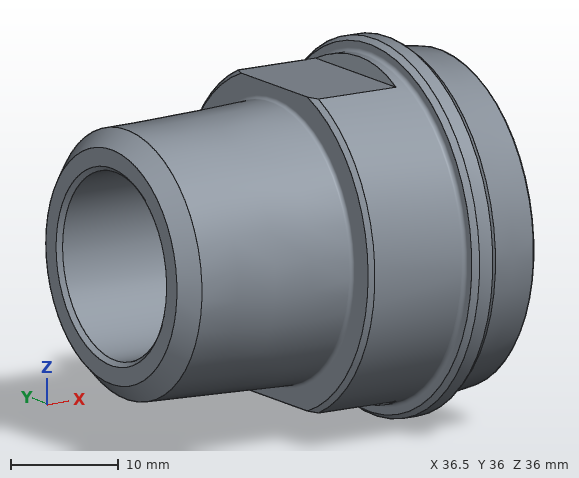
import cadquery as cq
import math

length = 36.5
tip_chamfer_end = 1.68
spigot_end = 17.65
shoulder_x = 18.03
body_chamfer_end = 18.47
body_end = 28.1
collar_start = 28.5
collar_rim_start = 29.1
collar_rim_end = 30.55
collar_end = 31.15
nose_start = 31.4
nose_chamfer = 0.2

tip_radius = 11.2
spigot_radius = 12.9
spigot_root_radius = 13.4
body_radius = 33.0 / 2
shoulder_edge_radius = 16.02
collar_radius = 36.0 / 2
collar_edge_radius = 17.55
nose_radius = 16.83
nose_end_radius = 16.02
root_fillet = shoulder_x - spigot_end
collar_fillet = collar_start - body_end
nose_fillet = nose_start - collar_end

bore_radius = 18.0 / 2
bore_chamfer = 0.45

flat_height = 15.0
flat_end = 27.05
flat_wall_run = 0.35
flat_wall_rise = body_radius - flat_height


def fillet_midpoint(center_x, center_radius, size, direction):
    """Middle of a concave corner arc; direction is +1 for a wall on the right, -1 for the left."""
    offset = size * math.sqrt(0.5)
    return center_x + direction * offset, center_radius - offset


def make_turned_body():
    root_mid = fillet_midpoint(spigot_end, spigot_root_radius + root_fillet, root_fillet, 1)
    collar_mid = fillet_midpoint(body_end, body_radius + collar_fillet, collar_fillet, 1)
    nose_mid = fillet_midpoint(nose_start, nose_radius + nose_fillet, nose_fillet, -1)
    profile = (
        cq.Workplane("XY")
        .moveTo(0, bore_radius + bore_chamfer)
        .lineTo(0, tip_radius)
        .lineTo(tip_chamfer_end, spigot_radius)
        .lineTo(spigot_end, spigot_root_radius)
        .threePointArc(root_mid, (shoulder_x, spigot_root_radius + root_fillet))
        .lineTo(shoulder_x, shoulder_edge_radius)
        .lineTo(body_chamfer_end, body_radius)
        .lineTo(body_end, body_radius)
        .threePointArc(collar_mid, (collar_start, body_radius + collar_fillet))
        .lineTo(collar_start, collar_edge_radius)
        .lineTo(collar_rim_start, collar_radius)
        .lineTo(collar_rim_end, collar_radius)
        .lineTo(collar_end, collar_edge_radius)
        .lineTo(collar_end, nose_radius + nose_fillet)
        .threePointArc(nose_mid, (nose_start, nose_radius))
        .lineTo(length - nose_chamfer, nose_end_radius)
        .lineTo(length, nose_end_radius - nose_chamfer)
        .lineTo(length, bore_radius)
        .lineTo(bore_chamfer, bore_radius)
        .close()
    )
    return profile.revolve(360, (0, 0, 0), (1, 0, 0))


def make_flat_cutter(side):
    """Prism removing the material above one flat; side is +1 for +Z and -1 for -Z."""
    outline = [
        (shoulder_x, side * flat_height),
        (flat_end, side * flat_height),
        (flat_end + flat_wall_run, side * (flat_height + flat_wall_rise)),
        (shoulder_x, side * (flat_height + flat_wall_rise)),
    ]
    return cq.Workplane("XZ").polyline(outline).close().extrude(body_radius, both=True)


result = make_turned_body()
for side in (1, -1):
    result = result.cut(make_flat_cutter(side))